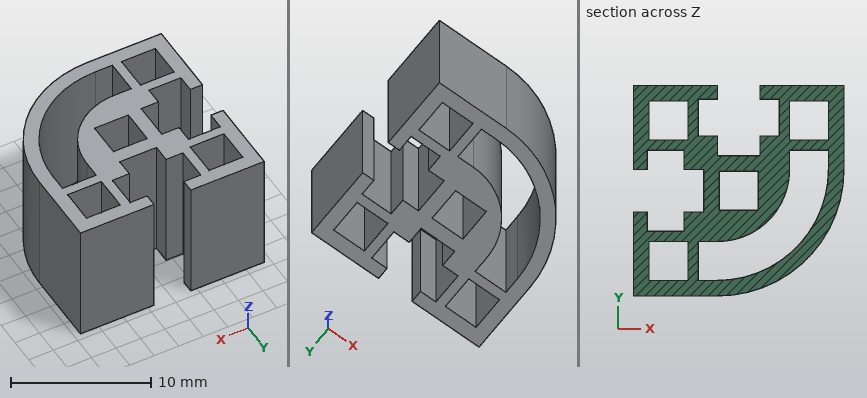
import cadquery as cq
import math

side = 15.0
length = 10.0
corner_radius = 9.0
wall = 1.125
cell = 2.75

slot_mouth = 3.0
slot_depth = 5.0
slot_cavity = 5.75
slot_lip = 1.0
slot_cavity_end = 3.6

half = side / 2
cell_offset = half - wall - cell / 2
arc_x = half - corner_radius
arc_y = -arc_x
channel_outer = half - wall
channel_inner = channel_outer - cell
channel_end = slot_cavity / 2


def arc_middle(radius):
    """Midpoint of the round wall of the given radius about the common centre."""
    offset = radius * math.sqrt(0.5)
    return (arc_x + offset, arc_y - offset)


def body():
    """Square bar with one large rounded edge."""
    return (
        cq.Workplane("XY")
        .moveTo(-half, half)
        .lineTo(half, half)
        .lineTo(half, arc_y)
        .threePointArc(arc_middle(corner_radius), (arc_x, -half))
        .lineTo(-half, -half)
        .close()
        .extrude(length)
    )


def slot():
    """Cross-shaped slot along Z, open on the +Y face."""
    mouth = (
        cq.Workplane("XY")
        .center(0, half - slot_depth / 2)
        .rect(slot_mouth, slot_depth)
        .extrude(length)
    )
    cavity = (
        cq.Workplane("XY")
        .center(0, half - (slot_lip + slot_cavity_end) / 2)
        .rect(slot_cavity, slot_cavity_end - slot_lip)
        .extrude(length)
    )
    return mouth.union(cavity)


def square_cells():
    """Three cells in the square corners and one in the middle of the core."""
    centres = [
        (-cell_offset, cell_offset),
        (cell_offset, cell_offset),
        (-cell_offset, -cell_offset),
        (0, 0),
    ]
    return cq.Workplane("XY").pushPoints(centres).rect(cell, cell).extrude(length)


def curved_channel():
    """Channel of constant width that follows the rounded corner."""
    return (
        cq.Workplane("XY")
        .moveTo(channel_inner, channel_end)
        .lineTo(channel_outer, channel_end)
        .lineTo(channel_outer, arc_y)
        .threePointArc(arc_middle(channel_outer - arc_x), (arc_x, -channel_outer))
        .lineTo(-channel_end, -channel_outer)
        .lineTo(-channel_end, -channel_inner)
        .lineTo(arc_x, -channel_inner)
        .threePointArc(arc_middle(channel_inner - arc_x), (channel_inner, arc_y))
        .close()
        .extrude(length)
    )


top_slot = slot()
left_slot = slot().rotate((0, 0, 0), (0, 0, 1), 90)

result = (
    body()
    .cut(top_slot)
    .cut(left_slot)
    .cut(square_cells())
    .cut(curved_channel())
)